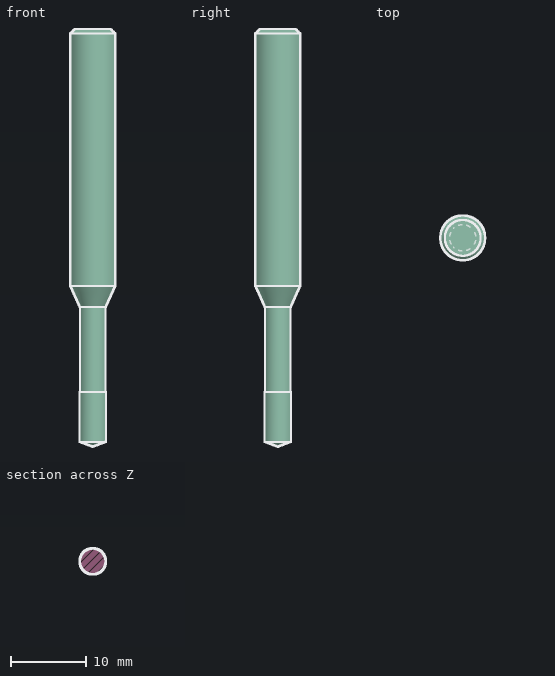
import cadquery as cq

TOTAL_LENGTH = 55.55
SHANK_RADIUS = 3.0
SHANK_CHAMFER = 0.6
NECK_RADIUS = 1.7
CUTTER_RADIUS = 1.8
POINT_HEIGHT = 0.65
CUTTER_TOP = 7.3
NECK_TOP = 18.55
TAPER_TOP = 21.4


def make_shank():
    """Chamfered shank with its taper and reduced neck, turned about Z."""
    return (
        cq.Workplane("XZ")
        .moveTo(0, CUTTER_TOP)
        .lineTo(NECK_RADIUS, CUTTER_TOP)
        .lineTo(NECK_RADIUS, NECK_TOP)
        .lineTo(SHANK_RADIUS, TAPER_TOP)
        .lineTo(SHANK_RADIUS, TOTAL_LENGTH - SHANK_CHAMFER)
        .lineTo(SHANK_RADIUS - SHANK_CHAMFER, TOTAL_LENGTH)
        .lineTo(0, TOTAL_LENGTH)
        .close()
        .revolve()
    )


def make_cutter():
    """Cylindrical cutting end with a shallow conical point."""
    return (
        cq.Workplane("XZ")
        .moveTo(0, 0)
        .lineTo(CUTTER_RADIUS, POINT_HEIGHT)
        .lineTo(CUTTER_RADIUS, CUTTER_TOP)
        .lineTo(0, CUTTER_TOP)
        .close()
        .revolve()
    )


shank = make_shank()
cutter = make_cutter()

result = cq.Compound.makeCompound([shank.val(), cutter.val()])